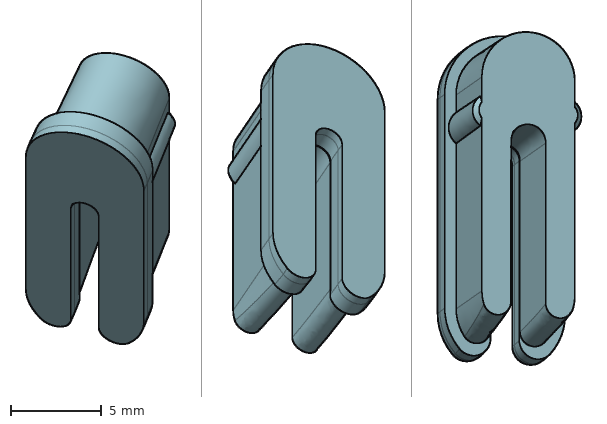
import cadquery as cq
import math

HEIGHT = 18.11
DEPTH = 6.5
FLANGE_WIDTH = 6.9
FLANGE_DEPTH = 1.5
PARTING_Y = 0.5
FLANGE_TIP_RADIUS = 1.01
FLANGE_SLOT_RADIUS = 0.8
FLANGE_DRAFT = 1.0
LOWER_CENTRE_Z = 2.65

BODY_INSET = 0.67
BODY_DRAFT = 1.5
BODY_TIP_RADIUS = 0.8
BODY_SLOT_RADIUS = 0.85
SLOT_TOP_Z = 11.93

PIN_X = 2.1
PIN_Z = 12.79
PIN_RADIUS = 1.1
PIN_DRAFT = 1.3
PIN_CHAMFER = 0.29

FLANGE_RADIUS = FLANGE_WIDTH / 2
UPPER_CENTRE_Z = HEIGHT - FLANGE_RADIUS
SLOT_CENTRE_Z = SLOT_TOP_Z - FLANGE_SLOT_RADIUS


def section_plane(y, direction):
    """Plane at depth y facing direction (+1 back, -1 front), with local y along Z."""
    return cq.Plane(origin=(0, y, 0), xDir=(-direction, 0, 0), normal=(0, direction, 0))


def drafted_pill(plane, radius, bottom_z, top_z, length, draft):
    """Extruded upright pill, given by the centres of its round ends."""
    return (
        cq.Workplane(plane)
        .center(0, (bottom_z + top_z) / 2)
        .slot2D(top_z - bottom_z + 2 * radius, 2 * radius, 90)
        .extrude(length, taper=draft)
    )


def forked_block(start_y, end_y, radius, slot_radius, tip_radius, draft):
    """Drafted pill split from below by a slot, with both leg tips rounded."""
    direction = math.copysign(1, end_y - start_y)
    length = abs(end_y - start_y)
    plane = section_plane(start_y, direction)
    block = drafted_pill(plane, radius, LOWER_CENTRE_Z, UPPER_CENTRE_Z, length, draft)
    slot = drafted_pill(plane, slot_radius, -HEIGHT, SLOT_CENTRE_Z, length, -draft)
    reach = slot_radius + 0.18
    corners = cq.selectors.BoxSelector(
        (-reach, min(start_y, end_y), LOWER_CENTRE_Z - radius),
        (reach, max(start_y, end_y), LOWER_CENTRE_Z - radius / 2),
    )
    return block.cut(slot).edges(corners).fillet(tip_radius)


def pin(side):
    """Tapered pin with a chamfered end, bulging out of one side of the body."""
    shank_length = DEPTH - FLANGE_DEPTH - PIN_CHAMFER
    shank_end_radius = PIN_RADIUS - shank_length * math.tan(math.radians(PIN_DRAFT))
    base = cq.Vector(side * PIN_X, FLANGE_DEPTH, PIN_Z)
    back = cq.Vector(0, 1, 0)
    shank = cq.Solid.makeCone(PIN_RADIUS, shank_end_radius, shank_length, base, back)
    tip = cq.Solid.makeCone(
        shank_end_radius,
        shank_end_radius - PIN_CHAMFER,
        PIN_CHAMFER,
        base + back * shank_length,
        back,
    )
    return cq.Workplane(shank).union(cq.Workplane(tip))


def flange_part(end_y):
    """Part of the flange from its widest section to one of its faces."""
    return forked_block(
        PARTING_Y, end_y, FLANGE_RADIUS, FLANGE_SLOT_RADIUS, FLANGE_TIP_RADIUS, FLANGE_DRAFT
    )


body = forked_block(
    FLANGE_DEPTH,
    DEPTH,
    FLANGE_RADIUS - BODY_INSET,
    BODY_SLOT_RADIUS,
    BODY_TIP_RADIUS,
    BODY_DRAFT,
)
result = flange_part(0).union(flange_part(FLANGE_DEPTH)).union(body)
for side in (-1, 1):
    result = result.union(pin(side))